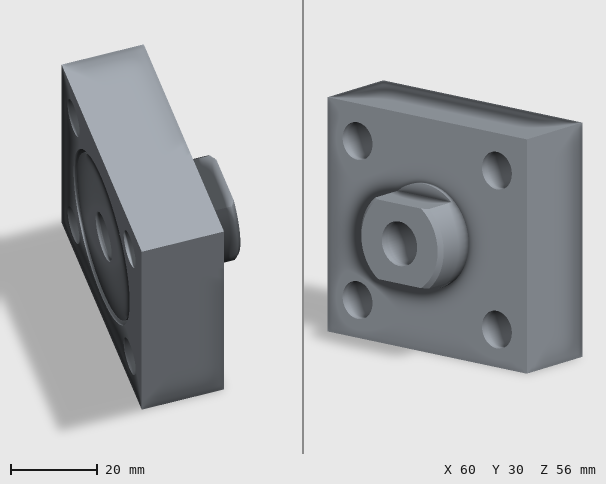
import cadquery as cq

plate_width = 60.0
plate_depth = 20.0
plate_height = 56.0

mount_hole_diameter = 9.0
mount_pitch_x = 42.0
mount_pitch_z = 38.0

bore_diameter = 42.0
disc_diameter = 40.0
disc_setback = 0.5
groove_depth = 8.0

stud_diameter = 25.0
stud_length = 10.0
stud_chamfer = 1.0
flat_spacing = 19.0
collar_length = 1.0

center_hole_diameter = 10.65
center_hole_mouth_diameter = 12.0
center_hole_chamfer = (center_hole_mouth_diameter - center_hole_diameter) / 2

total_depth = plate_depth + stud_length


def cylinder(diameter, start_y, end_y):
    """Solid cylinder on the Y axis between two depths."""
    direction = cq.Vector(0, 1, 0)
    base = cq.Vector(0, start_y, 0)
    return cq.Workplane(cq.Solid.makeCylinder(diameter / 2, end_y - start_y, base, direction))


def make_plate():
    plate = cq.Workplane("XY").box(plate_width, plate_depth, plate_height)
    plate = plate.translate((0, plate_depth / 2, 0))
    return (
        plate.faces("<Y").workplane(centerOption="CenterOfBoundBox")
        .rarray(mount_pitch_x, mount_pitch_z, 2, 2)
        .hole(mount_hole_diameter)
    )


def make_stud():
    stud = cylinder(stud_diameter, plate_depth, total_depth)
    stud = stud.faces(">Y").chamfer(stud_chamfer)
    collar = cylinder(stud_diameter, plate_depth, plate_depth + collar_length)
    flats = cq.Workplane("XY").box(stud_diameter, stud_length, flat_spacing)
    flats = flats.translate((0, plate_depth + stud_length / 2, 0))
    return stud.intersect(flats).union(collar)


def make_front_recess():
    """Material removed around and in front of the disc."""
    bore = cylinder(bore_diameter, 0, groove_depth)
    disc = cylinder(disc_diameter, disc_setback, groove_depth)
    return bore.cut(disc)


def make_center_hole():
    """Through hole with a 45 degree countersink at the disc face."""
    hole = cylinder(center_hole_diameter, 0, total_depth)
    countersink = cq.Workplane(
        cq.Solid.makeCone(
            center_hole_mouth_diameter / 2,
            center_hole_diameter / 2,
            center_hole_chamfer,
            cq.Vector(0, disc_setback, 0),
            cq.Vector(0, 1, 0),
        )
    )
    return hole.union(countersink)


result = make_plate().union(make_stud()).cut(make_front_recess()).cut(make_center_hole())